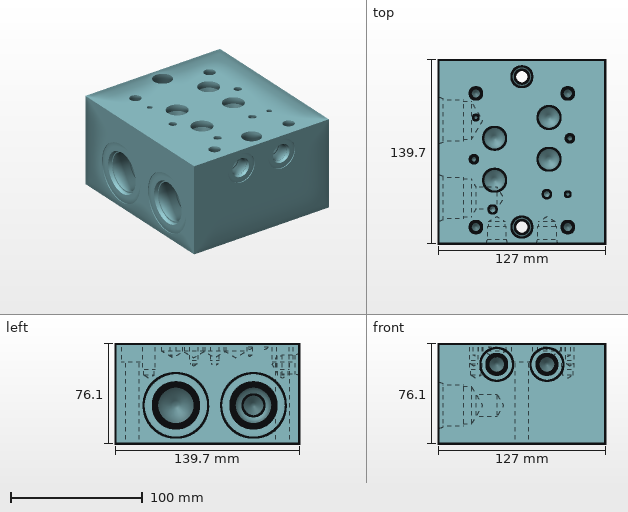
import cadquery as cq
import math

LENGTH_X = 127.0
LENGTH_Y = 139.7
HEIGHT = 76.1

DRILL_POINT_ANGLE = 118.0

BOLT_SPACING_X = 69.8
BOLT_SPACING_Y = 101.5
PATTERN_ORIGIN_X = BOLT_SPACING_X / 2
PATTERN_ORIGIN_Y = 44.4

BOLT_MAJOR_DIAMETER = 9.5
BOLT_DRILL_DIAMETER = 8.0
BOLT_THREAD_DEPTH = 19.5
BOLT_DRILL_DEPTH = 23.7

FLOW_PORTS = [(14.2, 18.3), (14.2, 50.0), (55.6, 34.1), (55.6, 66.0)]
FLOW_PORT_DIAMETER = 17.5
FLOW_PORT_DEPTH = 5.5

PILOT_PORTS = [(15.9, 76.5), (57.1, 88.2)]
PILOT_PORT_DIAMETER = 6.3
PILOT_PORT_DEPTH = 2.5

SMALL_BOLT_OFFSET = 1.5
SMALL_BOLTS = [(-SMALL_BOLT_OFFSET, 34.1), (BOLT_SPACING_X + SMALL_BOLT_OFFSET, 50.0)]
SMALL_BOLT_MAJOR_DIAMETER = 6.3
SMALL_BOLT_DRILL_DIAMETER = 5.2
SMALL_BOLT_THREAD_DEPTH = 12.6
SMALL_BOLT_DRILL_DEPTH = 15.4

LOCATING_PINS = [(0, 76.5), (BOLT_SPACING_X, 18.3)]
LOCATING_PIN_DIAMETER = 4.3
LOCATING_PIN_DEPTH = 8.4

FASTENER_SPACING_Y = 114.3
FASTENER_DIAMETER = 10.3
FASTENER_HEAD_DIAMETER = 15.9
FASTENER_HEAD_DEPTH = 14.0

SIDE_PORT_Z = 29.3
PORT_A_Y = 23.9
PORT_B_Y = -35.0
SIDE_SPOTFACE_DIAMETER = 49.2
SIDE_SPOTFACE_DEPTH = 0.7
SIDE_MOUTH_DIAMETER = 35.2
SIDE_SEAT_DIAMETER = 33.2
SIDE_SEAT_DEPTH = 3.5
SIDE_THREAD_DIAMETER = 31.3
SIDE_THREAD_DEPTH = 19.0
SIDE_DRILL_DIAMETER = 28.6
SIDE_DRILL_DEPTH = 25.1
PORT_B_BORE_DIAMETER = 16.6
PORT_B_BORE_DEPTH = 44.7

FRONT_PORT_BELOW_TOP = 15.6
FRONT_PORT_Z = HEIGHT - FRONT_PORT_BELOW_TOP
FRONT_PORT_SPACING = 38.1
FRONT_SPOTFACE_DIAMETER = 25.0
FRONT_SPOTFACE_DEPTH = 0.7
FRONT_MOUTH_DIAMETER = 15.9
FRONT_SEAT_DIAMETER = 14.5
FRONT_SEAT_DEPTH = 3.4
FRONT_THREAD_DIAMETER = 14.2
FRONT_THREAD_DEPTH = 13.3
FRONT_DRILL_DIAMETER = 12.9
FRONT_DRILL_DEPTH = 16.8


def drill_point_length(diameter):
    """Length of the conical end left by a drill."""
    return diameter / 2 / math.tan(math.radians(DRILL_POINT_ANGLE / 2))


def stepped_bore(steps):
    """Drilled cavity going down from Z = 0, ending in a drill point.

    Each step is (diameter at its start, diameter at its end, depth at its end).
    """
    points = [(0, 0)]
    depth = 0
    for start_diameter, end_diameter, end_depth in steps:
        points.append((start_diameter / 2, -depth))
        points.append((end_diameter / 2, -end_depth))
        depth = end_depth
    points.append((0, -depth - drill_point_length(steps[-1][1])))
    return cq.Workplane("XZ").polyline(points).close().revolve(360, (0, 0), (0, 1))


def plain_step(diameter, end_depth):
    """Straight-walled step for stepped_bore."""
    return (diameter, diameter, end_depth)


def drill_top(body, cavity, positions):
    """Body with the cavity cut at each pattern position on the top face."""
    for offset_x, offset_y in positions:
        place = (PATTERN_ORIGIN_X - offset_x, PATTERN_ORIGIN_Y - offset_y, HEIGHT)
        body = body.cut(cavity.translate(place))
    return body


result = cq.Workplane("XY").box(LENGTH_X, LENGTH_Y, HEIGHT, centered=(True, True, False))

bolt_positions = [(x, y) for x in (0, BOLT_SPACING_X) for y in (0, BOLT_SPACING_Y)]
bolt_hole = stepped_bore([
    plain_step(BOLT_MAJOR_DIAMETER, BOLT_THREAD_DEPTH),
    plain_step(BOLT_DRILL_DIAMETER, BOLT_DRILL_DEPTH),
])
small_bolt_hole = stepped_bore([
    plain_step(SMALL_BOLT_MAJOR_DIAMETER, SMALL_BOLT_THREAD_DEPTH),
    plain_step(SMALL_BOLT_DRILL_DIAMETER, SMALL_BOLT_DRILL_DEPTH),
])

flow_port = stepped_bore([plain_step(FLOW_PORT_DIAMETER, FLOW_PORT_DEPTH)])
pilot_port = stepped_bore([plain_step(PILOT_PORT_DIAMETER, PILOT_PORT_DEPTH)])
pin_hole = stepped_bore([plain_step(LOCATING_PIN_DIAMETER, LOCATING_PIN_DEPTH)])

result = drill_top(result, bolt_hole, bolt_positions)
result = drill_top(result, small_bolt_hole, SMALL_BOLTS)
result = drill_top(result, flow_port, FLOW_PORTS)
result = drill_top(result, pilot_port, PILOT_PORTS)
result = drill_top(result, pin_hole, LOCATING_PINS)

result = (
    result.faces(">Z").workplane(origin=(0, 0, HEIGHT))
    .pushPoints([(0, FASTENER_SPACING_Y / 2), (0, -FASTENER_SPACING_Y / 2)])
    .cboreHole(FASTENER_DIAMETER, FASTENER_HEAD_DIAMETER, FASTENER_HEAD_DEPTH)
)

side_steps = [
    plain_step(SIDE_SPOTFACE_DIAMETER, SIDE_SPOTFACE_DEPTH),
    (SIDE_MOUTH_DIAMETER, SIDE_SEAT_DIAMETER, SIDE_SEAT_DEPTH),
    plain_step(SIDE_THREAD_DIAMETER, SIDE_THREAD_DEPTH),
    plain_step(SIDE_DRILL_DIAMETER, SIDE_DRILL_DEPTH),
]
port_a = stepped_bore(side_steps)
port_b = port_a.union(stepped_bore([plain_step(PORT_B_BORE_DIAMETER, PORT_B_BORE_DEPTH)]))
for port, port_y in [(port_a, PORT_A_Y), (port_b, PORT_B_Y)]:
    bored = port.rotate((0, 0, 0), (0, 1, 0), -90)
    result = result.cut(bored.translate((-LENGTH_X / 2, port_y, SIDE_PORT_Z)))

front_port = stepped_bore([
    plain_step(FRONT_SPOTFACE_DIAMETER, FRONT_SPOTFACE_DEPTH),
    (FRONT_MOUTH_DIAMETER, FRONT_SEAT_DIAMETER, FRONT_SEAT_DEPTH),
    plain_step(FRONT_THREAD_DIAMETER, FRONT_THREAD_DEPTH),
    plain_step(FRONT_DRILL_DIAMETER, FRONT_DRILL_DEPTH),
]).rotate((0, 0, 0), (1, 0, 0), 90)
for side in (-1, 1):
    place = (side * FRONT_PORT_SPACING / 2, -LENGTH_Y / 2, FRONT_PORT_Z)
    result = result.cut(front_port.translate(place))